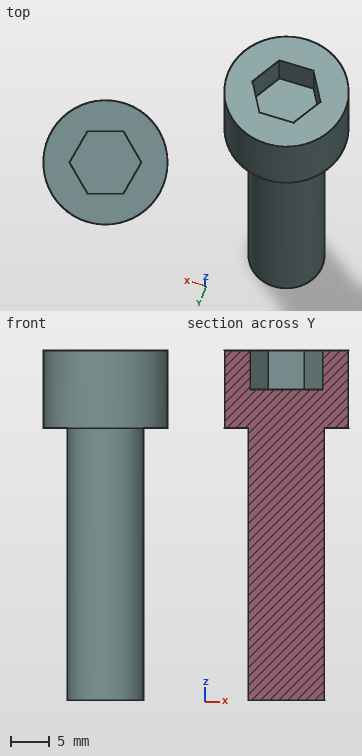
import cadquery as cq

total_length = 45.0
head_diameter = 16.0
head_height = 10.0
shank_diameter = 9.85
socket_across_flats = 8.0
socket_depth = head_height / 2

shank_length = total_length - head_height
hexagon_sides = 6
corner_angle = 180 / hexagon_sides

shank = cq.Workplane("XY").circle(shank_diameter / 2).extrude(shank_length)
head = (
    cq.Workplane("XY")
    .workplane(offset=shank_length)
    .circle(head_diameter / 2)
    .extrude(head_height)
)

socket = (
    cq.Workplane("XY")
    .workplane(offset=total_length)
    .polygon(hexagon_sides, socket_across_flats, circumscribed=True)
    .extrude(-socket_depth)
    .rotate((0, 0, 0), (0, 0, 1), corner_angle)
)

result = shank.union(head).cut(socket)